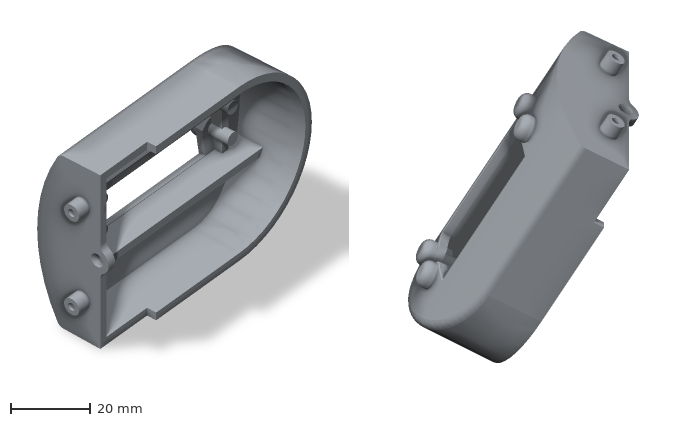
import cadquery as cq
import math


total_length = 82.05
pin_length = 4.0
body_length = total_length - pin_length
body_width = 55.7
nose_radius = body_width / 2
seam_y = body_length - nose_radius
side_draft = 1.0
body_depth = 23.95
dome_radius = 55.05
dome_center_x = dome_radius - body_depth
rim_fillet = 2.2
side_wall = 2.5
front_wall = 2.5

step_depth = 2.95
step_length = 18.05

lug_x = -4.0
lug_radius = 3.85
lug_blend = 2.5
lug_hole_diameter = 2.0
lug_sink_diameter = 4.0

pin_x = -9.0
pin_z = 15.0
pin_base_diameter = 5.2
pin_tip_diameter = 5.0
pin_hole_diameter = 2.3

window_start_y = 18.6
window_end_y = 60.6
window_half_height = 11.3
window_edge_chamfer = 0.25

rib_thickness = 2.5
side_rib_x = -11.7
side_rib_z = 11.0
cross_rib_x = -17.8

head_top_x = -27.0
head_diameter = 7.1
head_height = 4.0
head_fillet = 2.0
shank_radius = 2.0
screw_length = 12.3
screw_z = 5.0
screw_rows_y = (14.6, 64.6)

relief_end_y = 64.1
relief_pad_radius = 3.8

overlap = 4.1
selection_margin = 0.4


def drafted_block(inset, start_y):
    """Round-nosed block on the back face, narrowing towards -X, with an undrafted end at start_y."""
    radius = nose_radius - inset
    block = (
        cq.Workplane("YZ")
        .moveTo(start_y - overlap, -radius)
        .lineTo(seam_y, -radius)
        .threePointArc((seam_y + radius, 0), (seam_y, radius))
        .lineTo(start_y - overlap, radius)
        .close()
        .extrude(-(body_depth + overlap), taper=side_draft)
    )
    keep = cq.Workplane("XY", origin=(0, start_y, 0)).box(
        4 * body_depth, 2 * body_length, 4 * nose_radius, centered=(True, False, True))
    return block.intersect(keep)


def dome_cylinder(radius):
    """Cylinder along Y whose surface forms the front of the shell."""
    return (
        cq.Workplane("XZ", origin=(dome_center_x, 0, 0))
        .circle(radius)
        .extrude(-(body_length + overlap))
    )


def make_cavity():
    space = drafted_block(side_wall, side_wall)
    return space.intersect(dome_cylinder(dome_radius - front_wall))


def make_shell():
    outer = drafted_block(0, 0).intersect(dome_cylinder(dome_radius))
    beyond_flat_end = cq.selectors.BoxSelector(
        (-body_depth - overlap, overlap, -nose_radius - overlap),
        (0, body_length + overlap, nose_radius + overlap),
    )
    outer = outer.faces("<X").edges(beyond_flat_end).fillet(rim_fillet)
    step = cq.Workplane("XY", origin=(-step_depth, 0, 0)).box(
        2 * step_depth, step_length, 3 * nose_radius, centered=(False, False, True))
    return outer.cut(make_cavity()).cut(step)


def make_lug():
    """Rounded ear on the end wall, blended into the step with concave arcs."""
    blend_x = lug_blend - step_depth
    reach = lug_radius + lug_blend
    blend_z = math.sqrt(reach**2 - (blend_x - lug_x) ** 2)
    touch = lug_radius / reach
    touch_x = lug_x + (blend_x - lug_x) * touch
    touch_z = blend_z * touch
    to_touch = math.atan2(touch_z - blend_z, touch_x - blend_x) % (2 * math.pi)
    middle_angle = (math.pi + to_touch) / 2
    middle_x = blend_x + lug_blend * math.cos(middle_angle)
    middle_z = blend_z + lug_blend * math.sin(middle_angle)
    return (
        cq.Workplane("XZ")
        .moveTo(lug_x, -blend_z)
        .lineTo(-step_depth, -blend_z)
        .threePointArc((middle_x, -middle_z), (touch_x, -touch_z))
        .threePointArc((lug_x + lug_radius, 0), (touch_x, touch_z))
        .threePointArc((middle_x, middle_z), (-step_depth, blend_z))
        .lineTo(lug_x, blend_z)
        .close()
        .extrude(-side_wall)
    )


def make_lug_hole():
    sink_radius = lug_sink_diameter / 2
    hole_radius = lug_hole_diameter / 2
    profile = [
        (0, 0),
        (sink_radius, 0),
        (hole_radius, sink_radius - hole_radius),
        (hole_radius, side_wall),
        (0, side_wall),
    ]
    hole = cq.Workplane("XY").polyline(profile).close().revolve(360, (0, 0), (0, 1))
    return hole.translate((lug_x, 0, 0))


def make_pin(z):
    return (
        cq.Workplane("XZ", origin=(pin_x, 0, z))
        .circle(pin_base_diameter / 2)
        .workplane(offset=pin_length)
        .circle(pin_tip_diameter / 2)
        .loft(ruled=True)
    )


def make_pin_hole(z):
    return (
        cq.Workplane("XZ", origin=(pin_x, -pin_length, z))
        .circle(pin_hole_diameter / 2)
        .extrude(-(pin_length + side_wall))
    )


def make_window():
    """Opening whose long sides point at the dome axis."""
    side_angle = math.asin(window_half_height / dome_radius)
    slope = math.tan(side_angle)
    outside_x = -body_depth - overlap
    inside_x = -body_depth / 2

    def half_height(x):
        return (dome_center_x - x) * slope

    return (
        cq.Workplane("XZ", origin=(0, window_start_y, 0))
        .moveTo(outside_x, -half_height(outside_x))
        .lineTo(inside_x, -half_height(inside_x))
        .lineTo(inside_x, half_height(inside_x))
        .lineTo(outside_x, half_height(outside_x))
        .close()
        .extrude(-(window_end_y - window_start_y))
    )


def add_window(shell):
    """Cut the window and break its edges on the dome."""
    side_limit = window_half_height + selection_margin
    near_window = cq.selectors.BoxSelector(
        (-body_depth - selection_margin, window_start_y - selection_margin, -side_limit),
        (-body_depth + front_wall / 2 + selection_margin, window_end_y + selection_margin, side_limit),
        boundingbox=False,
    )
    return shell.cut(make_window()).edges(near_window).chamfer(window_edge_chamfer)


def make_relief():
    """Notch in the window end that leaves a round pad under each screw head."""
    screw_y = screw_rows_y[1]
    diagonal = relief_pad_radius * math.cos(math.radians(45))
    tangent_y = screw_y - diagonal
    tangent_z = screw_z - diagonal
    mouth_z = tangent_z + tangent_y - window_end_y
    end_z = screw_z - math.sqrt(relief_pad_radius**2 - (screw_y - relief_end_y) ** 2)
    bottom_angle = math.acos((screw_y - relief_end_y) / relief_pad_radius)
    arc_angle = (math.radians(45) + bottom_angle) / 2
    arc_y = screw_y - relief_pad_radius * math.cos(arc_angle)
    arc_z = screw_z - relief_pad_radius * math.sin(arc_angle)
    return (
        cq.Workplane("YZ", origin=(-body_depth - overlap, 0, 0))
        .moveTo(window_end_y - overlap, -mouth_z)
        .lineTo(window_end_y, -mouth_z)
        .lineTo(tangent_y, -tangent_z)
        .threePointArc((arc_y, -arc_z), (relief_end_y, -end_z))
        .lineTo(relief_end_y, end_z)
        .threePointArc((arc_y, arc_z), (tangent_y, tangent_z))
        .lineTo(window_end_y, mouth_z)
        .lineTo(window_end_y - overlap, mouth_z)
        .close()
        .extrude(overlap + body_depth / 2)
    )


def make_ribs():
    """Long ribs beside the window and a cross rib behind the relief, trimmed to the body."""
    ribs = cq.Workplane("XY", origin=(cross_rib_x - body_depth, relief_end_y, 0)).box(
        body_depth, rib_thickness, 2 * side_rib_z, centered=(False, False, True))
    for side in (-1, 1):
        rib_center_z = side * (side_rib_z + rib_thickness / 2)
        rib = cq.Workplane("XY", origin=(side_rib_x - body_depth, 0, rib_center_z)).box(
            body_depth, body_length, rib_thickness, centered=(False, False, True))
        ribs = ribs.union(rib)
    return ribs.intersect(make_cavity())


def make_screw(y, z):
    plane = cq.Workplane("YZ", origin=(head_top_x, y, z))
    head = plane.circle(head_diameter / 2).extrude(head_height).faces("<X").edges().fillet(head_fillet)
    shank = plane.workplane(offset=head_height).circle(shank_radius).extrude(screw_length - head_height)
    return head.union(shank)


result = add_window(make_shell())
result = result.cut(make_relief()).union(make_ribs())
result = result.union(make_lug()).cut(make_lug_hole())
for side in (-1, 1):
    result = result.union(make_pin(side * pin_z)).cut(make_pin_hole(side * pin_z))
    for row_y in screw_rows_y:
        result = result.union(make_screw(row_y, side * screw_z))